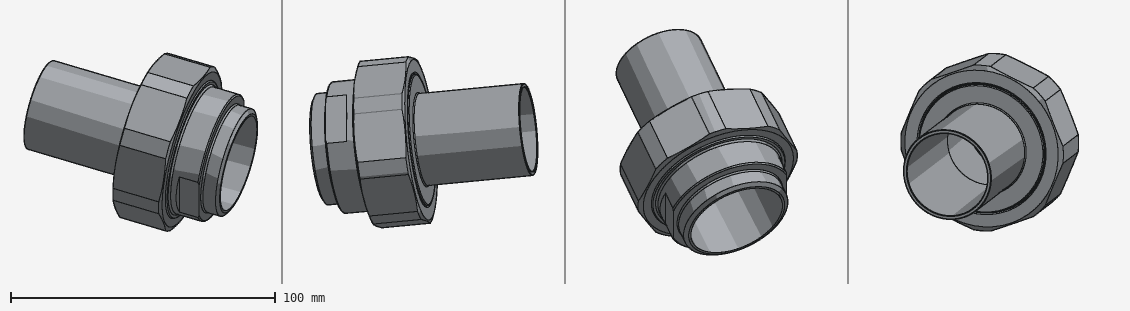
import cadquery as cq
import math


COLLAR_FACE = 41.0
NUT_LENGTH = 20.0
NUT_FRONT = 41.5
NUT_BACK = NUT_FRONT + NUT_LENGTH
SHOULDER_THICKNESS = 4.5
SHOULDER = NUT_FRONT + SHOULDER_THICKNESS
FLANGE_THICKNESS = 3.0
JOINT = SHOULDER + FLANGE_THICKNESS
THREAD_END = 62.05
BARREL_START = 62.8
BARREL_END = 73.6
TOTAL_LENGTH = 80.5

TUBE_D = 35.0
TUBE_BORE_D = 32.0
COLLAR_D = 50.0
FLANGE_D = 54.0
TUBE_EDGE = 0.25
TUBE_ROOT = 0.45
COLLAR_EDGE = 0.4

NUT_SIDES = 8
NUT_ACROSS_FLATS = 62.0
NUT_CORNER_D = 64.68
NUT_FACE_D = 61.0
NUT_CHAMFER = 0.7
NUT_HOLE_D = 50.5
NUT_HOLE_EDGE = 0.45
THREAD_D = 54.38

BARREL_D = 50.1
THREAD_EDGE = 0.4
BARREL_FOOT_D = 51.4
BARREL_EDGE = 0.5
WRENCH_WIDTH = 46.0
WRENCH_START = 65.55
WRENCH_ENTRY_SLOPE = 15.0
WRENCH_CUT_MARGIN = 1.0
WELD_END_D = 42.4
WELD_ROOT_D = 43.0
WELD_ROOT_LENGTH = 0.8
WELD_BEVEL_HEIGHT = 1.7
WELD_BEVEL_ANGLE = 30.0
WELD_BORE_D = 37.2


def revolve_profile(points):
    """Turn a closed (x, radius) outline about the X axis."""
    return cq.Workplane("XY").polyline(points).close().revolve(360, (0, 0, 0), (1, 0, 0))


def make_tailpiece():
    tube_r = TUBE_D / 2
    bore_r = TUBE_BORE_D / 2
    collar_r = COLLAR_D / 2
    flange_r = FLANGE_D / 2
    return revolve_profile([
        (0, bore_r + TUBE_EDGE),
        (0, tube_r - TUBE_EDGE),
        (TUBE_EDGE, tube_r),
        (COLLAR_FACE - TUBE_ROOT, tube_r),
        (COLLAR_FACE, tube_r + TUBE_ROOT),
        (COLLAR_FACE, collar_r - COLLAR_EDGE),
        (COLLAR_FACE + COLLAR_EDGE, collar_r),
        (SHOULDER, collar_r),
        (SHOULDER, flange_r),
        (JOINT, flange_r),
        (JOINT, bore_r),
        (TUBE_EDGE, bore_r),
    ])


def make_nut():
    corner_angle = math.pi / NUT_SIDES
    across_corners = NUT_ACROSS_FLATS / math.cos(corner_angle)
    bar = (
        cq.Workplane("YZ")
        .workplane(offset=NUT_FRONT)
        .polygon(NUT_SIDES, across_corners)
        .extrude(NUT_LENGTH)
    )
    hole_r = NUT_HOLE_D / 2
    thread_r = THREAD_D / 2
    face_r = NUT_FACE_D / 2
    corner_r = NUT_CORNER_D / 2
    turned = revolve_profile([
        (NUT_FRONT, hole_r + NUT_HOLE_EDGE),
        (NUT_FRONT, face_r),
        (NUT_FRONT + NUT_CHAMFER, corner_r),
        (NUT_BACK - NUT_CHAMFER, corner_r),
        (NUT_BACK, face_r),
        (NUT_BACK, thread_r),
        (SHOULDER, thread_r),
        (SHOULDER, hole_r),
        (NUT_FRONT + NUT_HOLE_EDGE, hole_r),
    ])
    return bar.intersect(turned)


def make_wrench_cut(side):
    """Block that cuts one wrench flat; side is +1 or -1 along Y."""
    flat_y = WRENCH_WIDTH / 2
    outer_y = BARREL_D / 2 + WRENCH_CUT_MARGIN
    slope_run = (outer_y - flat_y) * math.tan(math.radians(WRENCH_ENTRY_SLOPE))
    return (
        cq.Workplane("XY")
        .polyline([
            (WRENCH_START, side * flat_y),
            (BARREL_END, side * flat_y),
            (BARREL_END, side * outer_y),
            (WRENCH_START - slope_run, side * outer_y),
        ])
        .close()
        .extrude(BARREL_D / 2, both=True)
    )


def make_body():
    bore_r = WELD_BORE_D / 2
    thread_r = THREAD_D / 2
    barrel_r = BARREL_D / 2
    weld_r = WELD_END_D / 2
    bevel_length = WELD_BEVEL_HEIGHT * math.tan(math.radians(WELD_BEVEL_ANGLE))
    body = revolve_profile([
        (JOINT, bore_r),
        (JOINT, thread_r),
        (NUT_BACK, thread_r),
        (THREAD_END, thread_r - THREAD_EDGE),
        (THREAD_END, BARREL_FOOT_D / 2),
        (BARREL_START, barrel_r),
        (BARREL_END - BARREL_EDGE, barrel_r),
        (BARREL_END, barrel_r - BARREL_EDGE),
        (BARREL_END, WELD_ROOT_D / 2),
        (BARREL_END + WELD_ROOT_LENGTH, weld_r),
        (TOTAL_LENGTH - bevel_length, weld_r),
        (TOTAL_LENGTH, weld_r - WELD_BEVEL_HEIGHT),
        (TOTAL_LENGTH, bore_r),
    ])
    for side in (-1, 1):
        body = body.cut(make_wrench_cut(side))
    return body


tailpiece = make_tailpiece()
nut = make_nut()
body = make_body()

result = cq.Compound.makeCompound([tailpiece.val(), nut.val(), body.val()])